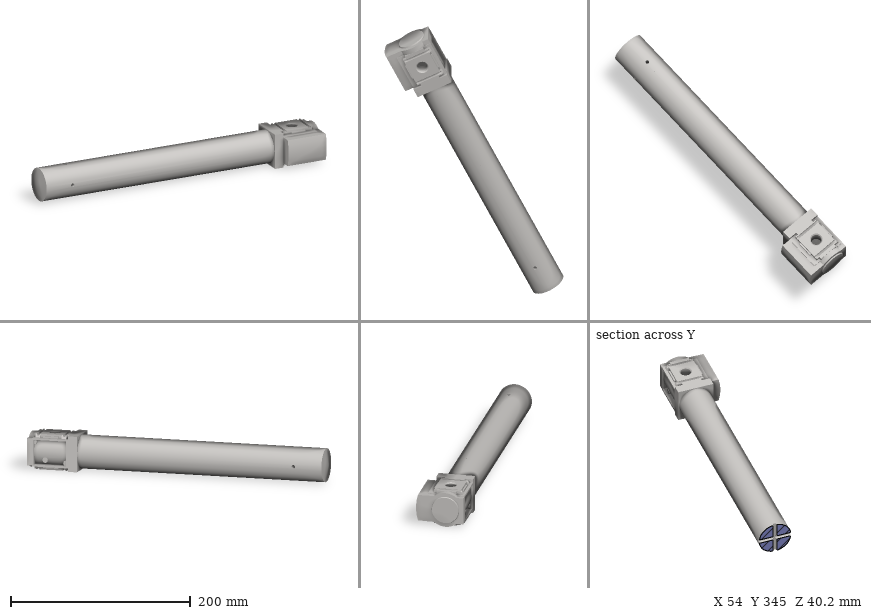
import cadquery as cq


overall_length = 345.0
overall_width = 54.0
overall_height = 40.2
half_height = overall_height / 2

head_left = -20.45
head_right = 21.2
core_half_height = 16.2
back_half_height = 15.4
head_length = 58.0
collar_length = 10.5
collar_start = head_length - collar_length
cap_length = 5.9

disc_radius = 15.6
disc_height = 1.4
disc_taper = 0.5

bowl_radius = 19.0
tip_height = 2.3
drain_hole_diameter = 4.0
drain_hole_inset = 34.8

housing_end = head_left + overall_width
housing_half_height = 15.2
housing_bulge = 2.2

plate_half_width = 15.0
neck_half_width = 11.3
plate_notch_length = 3.0
groove_spacing = 30.2
groove_width = 3.0
groove_depth = 2.0
side_tab_width = 1.9
side_tab_length = 17.5
side_tab_height = 1.9
wedge_width = 2.7
wedge_length = 5.4
port_diameter = 11.8
port_chamfer = 1.2
port_depth = 14.0

window_start = 8.0
window_end = 45.5
window_half_height = 14.0
pin_diameter = 6.1
pin_face_x = -18.5
pin_distance = 20.6
pin_z = -8.6
lug_diameter = 4.2
lug_z = 11.0
lug_inset = 0.8

disc_face = overall_length / 2
head_back = disc_face - disc_height
bowl_tip = -disc_face
bowl_end = bowl_tip + tip_height
collar_back = head_back - collar_start
cap_start = head_back - cap_length
plate_center = (collar_back + cap_start) / 2


def block(x_range, y_range, z_range):
    """Box between two X, two Y and two Z limits."""
    size = [limits[1] - limits[0] for limits in (x_range, y_range, z_range)]
    low = [limits[0] for limits in (x_range, y_range, z_range)]
    return cq.Workplane("XY").box(*size, centered=False).translate(tuple(low))


def y_cylinder(radius, y_start, y_end):
    """Cylinder on the bowl axis."""
    plane = cq.Workplane("XZ", origin=(0, y_end, 0))
    return plane.circle(radius).extrude(y_end - y_start)


def x_cylinder(diameter, x_start, x_end, y, z):
    """Cylinder along X at the given Y and Z."""
    plane = cq.Workplane("YZ", origin=(x_start, y, z))
    return plane.circle(diameter / 2).extrude(x_end - x_start)


def make_bowl():
    """Round bowl with a shallow conical end and two crossing drain holes."""
    bowl = (
        cq.Workplane("XY")
        .moveTo(0, bowl_tip)
        .lineTo(bowl_radius, bowl_end)
        .lineTo(bowl_radius, collar_back)
        .lineTo(0, collar_back)
        .close()
        .revolve(360, (0, 0, 0), (0, 1, 0))
    )
    hole_y = bowl_tip + drain_hole_inset
    hole_x = x_cylinder(drain_hole_diameter, -bowl_radius, bowl_radius, hole_y, 0)
    hole_z = hole_x.rotate((0, 0, 0), (0, 1, 0), 90)
    return bowl.cut(hole_x).cut(hole_z)


def make_head():
    """Head core, full-height collar, round cap and the tapered disc on the back."""
    x_range = (head_left, head_right)
    core = block(x_range, (collar_back, cap_start), (-core_half_height, core_half_height))
    back = block(x_range, (cap_start, head_back), (-back_half_height, back_half_height))
    collar = block(x_range, (head_back - head_length, collar_back), (-half_height, half_height))
    cap = y_cylinder(half_height, cap_start, head_back)
    disc = (
        cq.Workplane("XY")
        .moveTo(0, head_back)
        .lineTo(disc_radius, head_back)
        .lineTo(disc_radius - disc_taper, disc_face)
        .lineTo(0, disc_face)
        .close()
        .revolve(360, (0, 0, 0), (0, 1, 0))
    )
    return core.union(back).union(collar).union(cap).union(disc)


def make_housing():
    """Side housing with a bulged outer face."""
    shoulder_x = housing_end - housing_bulge
    return (
        cq.Workplane("XZ", origin=(0, head_back, 0))
        .moveTo(head_right, -housing_half_height)
        .lineTo(shoulder_x, -housing_half_height)
        .threePointArc((housing_end, 0), (shoulder_x, housing_half_height))
        .lineTo(head_right, housing_half_height)
        .close()
        .extrude(collar_start)
    )


def make_window():
    """Space between the window frame and the bowl, less the pin and the two lugs."""
    y_range = (head_back - window_end, head_back - window_start)
    opening = block((head_left, 0), y_range, (-window_half_height, window_half_height))
    space = opening.cut(y_cylinder(bowl_radius, *y_range))
    pins = [
        (pin_diameter, head_back - pin_distance, pin_z),
        (lug_diameter, y_range[1] - lug_inset, lug_z),
        (pin_diameter, y_range[0] + lug_inset, -lug_z),
    ]
    for diameter, y, z in pins:
        space = space.cut(x_cylinder(diameter, pin_face_x, 0, y, z))
    return space


def make_plate():
    """Port plate on the +Z side: corner notches, two round grooves, side tabs and wedges."""
    z_range = (core_half_height, half_height)
    plate = block(
        (-plate_half_width, plate_half_width),
        (collar_back + plate_notch_length, cap_start - plate_notch_length),
        z_range,
    )
    plate = plate.union(block((-neck_half_width, neck_half_width), (collar_back, cap_start), z_range))

    tab_half_width = plate_half_width + side_tab_width
    tab_half_length = side_tab_length / 2
    tabs = block(
        (-tab_half_width, tab_half_width),
        (plate_center - tab_half_length, plate_center + tab_half_length),
        (core_half_height, core_half_height + side_tab_height),
    )
    plate = plate.union(tabs)

    for side in (-1, 1):
        groove_y = plate_center + side * groove_spacing / 2
        wedge = (
            cq.Workplane("XZ", origin=(0, groove_y + wedge_length / 2, 0))
            .moveTo(-plate_half_width, core_half_height)
            .lineTo(-plate_half_width - wedge_width, core_half_height)
            .lineTo(-plate_half_width, half_height)
            .close()
            .extrude(wedge_length)
        )
        groove_radius = groove_width / 2
        groove_floor = half_height - groove_depth
        groove = (
            cq.Workplane("YZ", origin=(-plate_half_width - wedge_width, 0, 0))
            .moveTo(groove_y - groove_radius, half_height)
            .threePointArc((groove_y, groove_floor), (groove_y + groove_radius, half_height))
            .close()
            .extrude(2 * plate_half_width + wedge_width)
        )
        plate = plate.union(wedge).cut(groove)
    return plate


def make_port():
    """Blind port from the +Z face, with a chamfered mouth."""
    radius = port_diameter / 2
    return (
        cq.Workplane("XZ")
        .moveTo(0, half_height)
        .lineTo(radius + port_chamfer, half_height)
        .lineTo(radius, half_height - port_chamfer)
        .lineTo(radius, half_height - port_depth)
        .lineTo(0, half_height - port_depth)
        .close()
        .revolve(360, (0, 0, 0), (0, 1, 0))
        .translate((0, plate_center, 0))
    )


plate = make_plate()
port = make_port()
result = make_bowl().union(make_head()).union(make_housing()).cut(make_window())
result = result.union(plate).union(plate.mirror("XY"))
result = result.cut(port).cut(port.mirror("XY"))